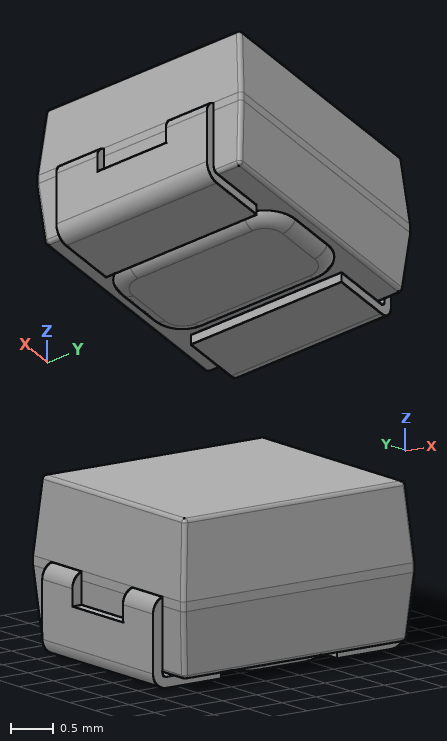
import cadquery as cq
import math

TOTAL_LENGTH = 3.7
HOUSING_WIDTH = 3.0
TOTAL_HEIGHT = 2.1

STRIP_THICKNESS = 0.137
LEAD_WIDTH = 2.19
FOOT_LENGTH = 1.0
OUTER_BEND = 0.2
INNER_BEND = OUTER_BEND - STRIP_THICKNESS
NOTCH_WIDTH = 1.0
NOTCH_FLOOR = 0.71

HOUSING_LENGTH = TOTAL_LENGTH - 2 * STRIP_THICKNESS
HOUSING_BOTTOM = 0.163
BELT_BOTTOM = 1.005
BELT_TOP = 1.125
DRAFT_ANGLE = 5.0
EDGE_RADIUS = 0.05

PAD_LENGTH = 1.543
PAD_WIDTH = 2.57
PAD_CORNER = 0.45
PAD_BOTTOM = 0.035
PAD_EDGE_RADIUS = 0.2


def tapered_half(start_height, height):
    """Drafted block that narrows away from the belt; a negative height points down."""
    inset = abs(height) * math.tan(math.radians(DRAFT_ANGLE))
    return (
        cq.Workplane("XY", origin=(0, 0, start_height))
        .rect(HOUSING_LENGTH, HOUSING_WIDTH)
        .workplane(offset=height)
        .rect(HOUSING_LENGTH - 2 * inset, HOUSING_WIDTH - 2 * inset)
        .loft(ruled=True)
    )


def make_pad():
    """Rounded rectangular pad with a soft lower rim, rooted inside the housing."""
    return (
        cq.Workplane("XY", origin=(0, 0, PAD_BOTTOM))
        .rect(PAD_LENGTH, PAD_WIDTH)
        .extrude(BELT_BOTTOM - PAD_BOTTOM)
        .edges("|Z")
        .fillet(PAD_CORNER)
        .faces("<Z")
        .edges()
        .fillet(PAD_EDGE_RADIUS)
    )


def make_housing():
    """Moulded housing with rounded corners, rounded rims and the pad below."""
    belt = (
        cq.Workplane("XY", origin=(0, 0, BELT_BOTTOM))
        .rect(HOUSING_LENGTH, HOUSING_WIDTH)
        .extrude(BELT_TOP - BELT_BOTTOM)
    )
    upper_half = tapered_half(BELT_TOP, TOTAL_HEIGHT - BELT_TOP)
    lower_half = tapered_half(BELT_BOTTOM, HOUSING_BOTTOM - BELT_BOTTOM)
    block = belt.union(upper_half).union(lower_half)
    upright_edges = block.edges("not #Z")
    rounded = upright_edges.fillet(EDGE_RADIUS)
    rounded = rounded.faces("<Z or >Z").edges().fillet(EDGE_RADIUS)
    return rounded.union(make_pad())


def make_lead():
    """Lead at the -X end: foot, outer wall and two arms that meet the belt."""
    outer_x = -TOTAL_LENGTH / 2
    inner_x = -HOUSING_LENGTH / 2
    foot_tip_x = outer_x + FOOT_LENGTH
    bend_x = outer_x + OUTER_BEND
    diagonal = math.sqrt(0.5)
    inner_diagonal = INNER_BEND * diagonal
    outer_diagonal = OUTER_BEND * diagonal

    top_center_z = BELT_TOP - OUTER_BEND
    end_angle = math.acos((bend_x - inner_x) / OUTER_BEND)
    middle_angle = end_angle / 2
    top_middle = (
        bend_x - OUTER_BEND * math.cos(middle_angle),
        top_center_z + OUTER_BEND * math.sin(middle_angle),
    )
    top_end = (inner_x, top_center_z + OUTER_BEND * math.sin(end_angle))

    strip = (
        cq.Workplane("XZ")
        .moveTo(foot_tip_x, 0)
        .lineTo(bend_x, 0)
        .threePointArc((bend_x - outer_diagonal, OUTER_BEND - outer_diagonal), (outer_x, OUTER_BEND))
        .lineTo(outer_x, top_center_z)
        .threePointArc(top_middle, top_end)
        .lineTo(inner_x, OUTER_BEND)
        .threePointArc((bend_x - inner_diagonal, OUTER_BEND - inner_diagonal), (bend_x, STRIP_THICKNESS))
        .lineTo(foot_tip_x, STRIP_THICKNESS)
        .close()
        .extrude(LEAD_WIDTH / 2, both=True)
    )
    notch = cq.Workplane("XY", origin=(outer_x, 0, NOTCH_FLOOR)).box(
        4 * STRIP_THICKNESS, NOTCH_WIDTH, BELT_TOP, centered=(True, True, False)
    )
    return strip.cut(notch)


housing = make_housing()
leads = []
for turn in (0, 180):
    leads.append(make_lead().rotate((0, 0, 0), (0, 0, 1), turn).val())

result = cq.Compound.makeCompound([housing.val(), *leads])